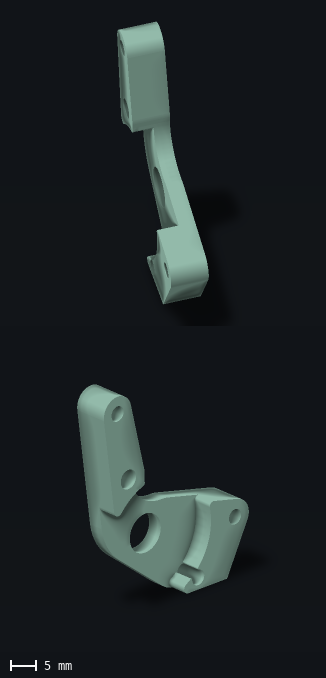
import cadquery as cq
import math

thickness = 7.5
web_thickness = 3.3
bore_radius = 4.1
relief_radius = 13.4

small_hole_radius = 1.6
arm_end = (-11.3, 29.85)
right_end = (19.75, -1.15)
foot_hole = (10.0, -11.0)
arm_hole = (-8.4, 15.2)
arm_hole_radius = 2.0

end_radius = 3.6
arm_boss_radius = 4.3
heel_corner = (-10.85, -0.45)
heel_radius = 11.75
base_z = arm_end[1] + end_radius - 47.0
base_slope = math.radians(37.9)
base_radius = 4.95
foot_x = 17.62
elbow_radius = 8.15
elbow_center = (arm_hole[0] + arm_boss_radius + elbow_radius, 14.0)
shoulder_x = 5.25
shoulder_radius = 6.8

pad_corner_radius = 0.9
outer_tip_radius = 1.1
elbow_tip_radius = 0.55
cusp_radius = 0.3


def polar(center, radius, angle):
    """Point on a circle, with the angle in radians from +X towards +Z."""
    return (center[0] + radius * math.cos(angle), center[1] + radius * math.sin(angle))


def direction(start, end):
    return math.atan2(end[1] - start[1], end[0] - start[0])


def tangent_from_point(point, center, radius, side):
    """Touch point of a tangent from a point; side picks one of the two tangents."""
    half_angle = math.acos(radius / math.dist(point, center))
    return polar(center, radius, direction(center, point) + side * half_angle)


def toward(start, end, distance):
    return polar(start, distance, direction(start, end))


def corner_round(before, corner, after, radius):
    """Start, middle and end of the arc that rounds a corner."""
    to_before = direction(corner, before)
    to_after = direction(corner, after)
    half_angle = math.acos(math.cos(to_after - to_before)) / 2
    bisector = math.atan2(
        math.sin(to_before) + math.sin(to_after),
        math.cos(to_before) + math.cos(to_after),
    )
    setback = radius / math.tan(half_angle)
    middle = polar(corner, radius / math.sin(half_angle) - radius, bisector)
    return toward(corner, before, setback), middle, toward(corner, after, setback)


def make_outline():
    """Closed outline on the -Y face, extruded through the full thickness."""
    base_corner = (heel_corner[0] + (heel_corner[1] - base_z) / math.tan(base_slope), base_z)
    foot_corner = (foot_x, base_z)
    arm_left = tangent_from_point(heel_corner, arm_end, end_radius, -1)
    right_low = tangent_from_point(foot_corner, right_end, end_radius, 1)
    heel_start, heel_middle, heel_end = corner_round(arm_left, heel_corner, base_corner, heel_radius)
    base_start, base_middle, base_end = corner_round(heel_corner, base_corner, foot_corner, base_radius)

    spread = (end_radius - arm_boss_radius) / math.dist(arm_end, arm_hole)
    arm_normal = direction(arm_end, arm_hole) + math.acos(spread)

    elbow_low = polar(elbow_center, elbow_radius, -math.pi / 2)
    shoulder_corner = (shoulder_x, elbow_low[1])
    right_high = tangent_from_point(shoulder_corner, right_end, end_radius, -1)
    shoulder_start, shoulder_middle, shoulder_end = corner_round(
        right_high, shoulder_corner, elbow_low, shoulder_radius
    )
    return (
        cq.Workplane("XZ")
        .moveTo(*arm_left)
        .lineTo(*heel_start)
        .threePointArc(heel_middle, heel_end)
        .lineTo(*base_start)
        .threePointArc(base_middle, base_end)
        .lineTo(*foot_corner)
        .lineTo(*right_low)
        .threePointArc(polar(right_end, end_radius, 0), right_high)
        .lineTo(*shoulder_start)
        .threePointArc(shoulder_middle, shoulder_end)
        .lineTo(*elbow_low)
        .threePointArc(
            polar(elbow_center, elbow_radius, -0.75 * math.pi),
            polar(elbow_center, elbow_radius, math.pi),
        )
        .lineTo(arm_hole[0] + arm_boss_radius, arm_hole[1])
        .threePointArc(
            polar(arm_hole, arm_boss_radius, arm_normal / 2),
            polar(arm_hole, arm_boss_radius, arm_normal),
        )
        .lineTo(*polar(arm_end, end_radius, arm_normal))
        .threePointArc(polar(arm_end, end_radius, math.pi / 2), arm_left)
        .close()
    )


def cylinder(center, radius):
    return cq.Workplane("XZ").center(*center).circle(radius).extrude(thickness)


def round_pad_corners(pads):
    """Round the edges where the relief wall meets the outline and the foot hole."""
    wall_edges = []
    for edge in pads.edges("|Y").vals():
        point = edge.Center()
        if abs(math.hypot(point.x, point.z) - relief_radius) < 0.005:
            wall_edges.append(edge)
    for edge in wall_edges:
        point = edge.Center()
        if math.dist((point.x, point.z), foot_hole) < small_hole_radius + 0.005:
            radius = cusp_radius
        elif arm_hole[0] < point.x < 0:
            radius = elbow_tip_radius
        elif point.x < foot_hole[0]:
            radius = outer_tip_radius
        else:
            radius = pad_corner_radius
        nearest = cq.selectors.NearestToPointSelector(point.toTuple())
        pads = pads.edges("|Y").edges(nearest).fillet(radius)
    return pads


web = make_outline().extrude(web_thickness)
pads = make_outline().extrude(thickness).cut(cylinder((0, 0), relief_radius))
pads = pads.cut(cylinder(foot_hole, small_hole_radius))
pads = round_pad_corners(pads)

result = web.union(pads).cut(cylinder((0, 0), bore_radius))
for hole in (arm_end, right_end, foot_hole):
    result = result.cut(cylinder(hole, small_hole_radius))
result = result.cut(cylinder(arm_hole, arm_hole_radius))